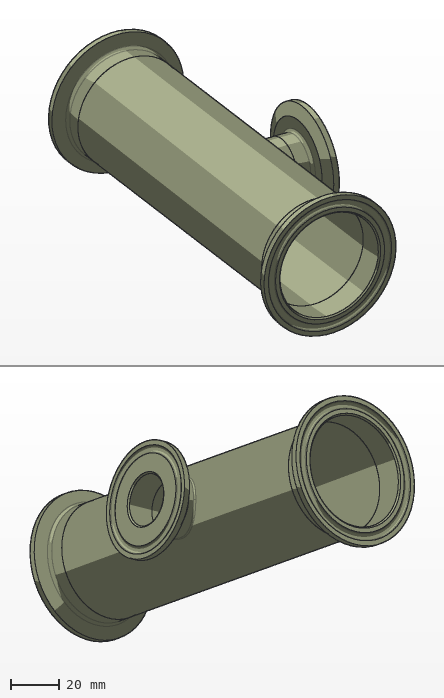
import cadquery as cq
import math

LENGTH = 171.4
BRANCH_REACH = 41.3
WALL = 1.63

TUBE_RADIUS = 25.4
FLANGE_RADIUS = 31.9
NECK_FILLET = 1.63

BRANCH_RADIUS = 12.7
BRANCH_FLANGE_RADIUS = 25.2
BRANCH_BACK_RADIUS = 19.4
BRANCH_NECK_FILLET = 1.4
SADDLE_FILLET = 0.7

FERRULE_LENGTH = 12.7
RIM_WIDTH = 2.7
TAPER = math.tan(math.radians(20))
GROOVE_INSET = 3.85
GROOVE_HALF_WIDTH = 1.4
GROOVE_DEPTH = 1.0
GROOVE_LIP = 0.3
MOUTH_CHAMFER = 0.7

CORNER_MARGIN = 0.2

BORE_RADIUS = TUBE_RADIUS - WALL
BRANCH_BORE_RADIUS = BRANCH_RADIUS - WALL
TUBE_HALF_LENGTH = LENGTH / 2 - FERRULE_LENGTH
STUB_END = BRANCH_REACH - FERRULE_LENGTH


def make_ferrule(pipe_radius, flange_radius, back_radius, neck_fillet):
    """Clamp ferrule on the Z axis: sealing face at Z = 0, neck toward +Z."""
    bore_radius = pipe_radius - WALL
    back_height = RIM_WIDTH + (flange_radius - back_radius) * TAPER
    groove_middle = flange_radius - GROOVE_INSET
    groove_inner = groove_middle - GROOVE_HALF_WIDTH
    groove_outer = groove_middle + GROOVE_HALF_WIDTH

    profile = (
        cq.Workplane("XZ")
        .moveTo(bore_radius, MOUTH_CHAMFER)
        .lineTo(bore_radius + MOUTH_CHAMFER, 0)
        .lineTo(groove_inner - GROOVE_LIP, 0)
        .lineTo(groove_inner, GROOVE_LIP)
        .threePointArc((groove_middle, GROOVE_DEPTH), (groove_outer, GROOVE_LIP))
        .lineTo(groove_outer + GROOVE_LIP, 0)
        .lineTo(flange_radius, 0)
        .lineTo(flange_radius, RIM_WIDTH)
        .lineTo(back_radius, back_height)
    )
    if back_radius > pipe_radius:
        profile = profile.lineTo(pipe_radius, back_height)
    profile = (
        profile
        .lineTo(pipe_radius, FERRULE_LENGTH)
        .lineTo(bore_radius, FERRULE_LENGTH)
        .close()
    )
    ferrule = profile.revolve(360, (0, 0, 0), (0, 1, 0))
    neck_corner = cq.selectors.BoxSelector(
        (-flange_radius, -flange_radius, back_height - CORNER_MARGIN),
        (flange_radius, flange_radius, back_height + CORNER_MARGIN),
        boundingbox=True,
    )
    neck_edge = ferrule.edges("%CIRCLE").edges(neck_corner).edges(cq.selectors.RadiusNthSelector(0))
    return neck_edge.fillet(neck_fillet)


def make_tube():
    """Main tube with the branch stub blended onto its +Y side."""
    outer = cq.Workplane("YZ").circle(TUBE_RADIUS).extrude(TUBE_HALF_LENGTH, both=True)
    stub = cq.Workplane("XZ").circle(BRANCH_RADIUS).extrude(-STUB_END)
    body = outer.union(stub)

    saddle_region = cq.selectors.BoxSelector(
        (-BRANCH_RADIUS - CORNER_MARGIN, 0, -BRANCH_RADIUS - CORNER_MARGIN),
        (BRANCH_RADIUS + CORNER_MARGIN, TUBE_RADIUS + CORNER_MARGIN, BRANCH_RADIUS + CORNER_MARGIN),
        boundingbox=True,
    )
    body = body.edges(saddle_region).fillet(SADDLE_FILLET)

    bore = cq.Workplane("YZ").circle(BORE_RADIUS).extrude(TUBE_HALF_LENGTH, both=True)
    branch_bore = cq.Workplane("XZ").circle(BRANCH_BORE_RADIUS).extrude(-STUB_END)
    return body.cut(bore).cut(branch_bore)


tube = make_tube()

run_ferrules = []
for side in (-1, 1):
    ferrule = make_ferrule(TUBE_RADIUS, FLANGE_RADIUS, TUBE_RADIUS, NECK_FILLET)
    ferrule = ferrule.rotate((0, 0, 0), (0, 1, 0), -side * 90)
    run_ferrules.append(ferrule.translate((side * LENGTH / 2, 0, 0)))

branch_ferrule = (
    make_ferrule(BRANCH_RADIUS, BRANCH_FLANGE_RADIUS, BRANCH_BACK_RADIUS, BRANCH_NECK_FILLET)
    .rotate((0, 0, 0), (1, 0, 0), 90)
    .translate((0, BRANCH_REACH, 0))
)

result = cq.Compound.makeCompound(
    [tube.val(), *[ferrule.val() for ferrule in run_ferrules], branch_ferrule.val()]
)